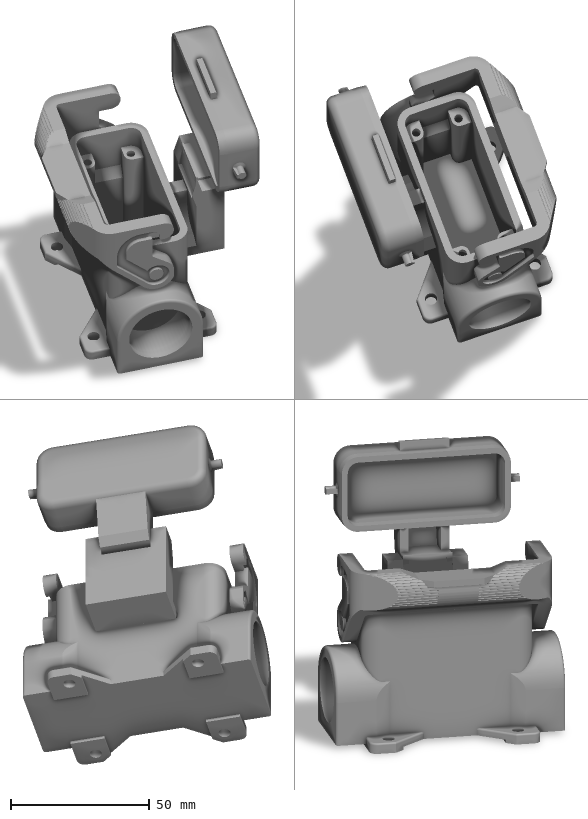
import cadquery as cq
import math


cos_45 = math.sqrt(0.5)

body_length = 63.3
body_width = 29.6
body_bottom = 1.2
body_top = 51.9
body_corner = 6.5
wall = 2.7
floor_top = 4
overlap = wall / 2

entry_span = 85.0
entry_radius = 16.2
entry_axis_z = 17.5
entry_edge = 1
entry_bore = 23.8
entry_depth = 14.6
blend_outer_x = 27.6
blend_inner_x = 22.3

boss_top = 42.9
boss_x = 21.8
boss_y = 5.5
boss_corner = 2.8
boss_hole_x = 24.8
boss_hole_y = 8.1
boss_hole = 3.1
boss_hole_depth = 9
ledge_x = 26.3
ledge_top = 34.1
ledge_slope = 4

foot_y = 24.9
foot_top = 3.9
foot_corner = 2.8
foot_edge = 0.7
foot_tip_x = 22.3
foot_root_x = 9.8
pad_x = 19.0
pad_y = 12.4
foot_hole = 4.4
foot_hole_x = 24.0
foot_hole_y = 20.0

cover_bottom = 68.2
cover_top = 97.2
cover_front = 25.4
cover_back = 41.1
cover_corner = 6.4
cover_back_edge = 2.7
cover_floor = 2.5
rim_depth = 3
rim_draft = 5
rim_back = cover_front + rim_depth
cover_mid_z = (cover_bottom + cover_top) / 2
tab_top = 100.4
tab_width = 18.4
tab_thickness = 2.1
tab_root_thickness = 2.7
stud_span = 71.9
stud_diameter = 3
stud_collar = 5.2
stud_collar_height = 0.5
stud_y = 32.6
stud_rib_width = 1.8
stud_rib_root_y = 30.2
stud_rib_tip_y = 30.7

bracket_width = 29.9
bracket_back = 32.0
bracket_front = 21.4
bracket_bottom = 25.9
bracket_top = 57.3
bracket_slope_y = 23.5
bracket_slope_z = 50.2
bracket_foot_y = 16.8
bracket_foot_z = 27.9
slot_ledge_z = 48.6
arm_width = tab_width
arm_step_z = 58.4
arm_nose_y = 23.3
arm_bottom = 50.4
arm_top_y = 40.1
arm_back_y = 36.2
arm_knee_z = 53.7
arm_foot_y = 33.9
arm_web = 2.5
arm_gap = 12
arm_foot_front = 22.3
lip_bottom = 57.4
lip_height = 0.5
lip_depth = 0.3
tooth_x = 7
tooth_bottom = 55.7
lip_overhang = 0.4

neck_top = 47.0
neck_half = 2.8
neck_fillet = 8.1
neck_fillet_z = 32.5
neck_side_z = 30.2

lever_span = 74.7
lever_inside = 64.7
lever_top = 67.9
bar_back = -18.2
bar_bottom = 54.1
lever_corner = 7.4
lever_inner_corner = 1.5
pivot_z = 42.4
pivot_radius = 6.8
pin_diameter = 5.2
pin_recess = 0.3
hook_y = 6.4
hook_bottom = 60.0
hook_corner = 3.7
throat_y = -1.7
throat_z = 52.3
grip_radius = (lever_top - bar_bottom) / 2
grip_y = -22.1
grip_z = bar_bottom + grip_radius
bevel_x = 22.3
bevel_y = -20.0
plate_front = -29.9
plate_top = 65.9
plate_bottom = 63.5
plate_tip = 9.3
plate_side_y = -26.7
plate_half = 14.1
dip_half = 19.6
rib_count = 14
rib_step = 9.5
rib_first = -40
rib_groove = 0.2
rib_start_x = 7.5

recess_depth = 1.5
recess_y = -5.9
recess_z = 55.7
recess_outer = 9
recess_inner = 5.5
recess_ring = 4.8
recess_inner_offset = 0.3
recess_hook_y = 1.2


def box(x0, x1, y0, y1, z0, z1):
    return cq.Workplane("XY").box(x1 - x0, y1 - y0, z1 - z0, centered=False).translate((x0, y0, z0))


def side_extrusion(points, width):
    """Prism along X, centred on the YZ plane, from (y, z) points."""
    return cq.Workplane("YZ").polyline(points).close().extrude(width / 2, both=True)


def both_ends(shape):
    return shape.union(shape.mirror("YZ"))


def four_corners(shape):
    half = shape.union(shape.mirror("XZ"))
    return both_ends(half)


def x_cylinder(diameter, x0, x1, y, z):
    return cq.Workplane("YZ", origin=(x0, y, z)).circle(diameter / 2).extrude(x1 - x0)


def make_housing():
    block = cq.Workplane("XY", origin=(0, 0, body_bottom)).rect(body_length, body_width)
    block = block.extrude(body_top - body_bottom).edges("|Z").fillet(body_corner)
    return block.union(both_ends(make_entry()))


def make_entry():
    """Round-topped cable entry whose flanks taper into the housing."""
    outer_x = entry_span / 2
    profile = (
        cq.Workplane("YZ", origin=(-outer_x, 0, 0))
        .moveTo(-entry_radius, body_bottom)
        .lineTo(entry_radius, body_bottom)
        .lineTo(entry_radius, entry_axis_z)
        .threePointArc((0, entry_axis_z + entry_radius), (-entry_radius, entry_axis_z))
        .close()
    )
    entry = profile.extrude(outer_x - blend_inner_x)
    end_face = entry.faces("<X").edges().vals()
    rounded = [edge for edge in end_face if edge.Center().z > body_bottom + entry_edge]
    entry = entry.newObject(rounded).fillet(entry_edge)
    plan = (
        cq.Workplane("XY")
        .polyline([
            (-outer_x, -entry_radius),
            (-blend_outer_x, -entry_radius),
            (-blend_inner_x, -body_width / 2),
            (-blend_inner_x, body_width / 2),
            (-blend_outer_x, entry_radius),
            (-outer_x, entry_radius),
        ])
        .close()
        .extrude(body_top)
    )
    return entry.intersect(plan)


def make_cavity():
    """Inside of the housing, leaving four screw bosses and an inner ledge at each end."""
    half_x = body_length / 2 - wall
    half_y = body_width / 2 - wall
    cavity = cq.Workplane("XY", origin=(0, 0, floor_top)).rect(2 * half_x, 2 * half_y)
    cavity = cavity.extrude(body_top - floor_top).edges("|Z").fillet(body_corner - wall)
    boss = box(boss_x, half_x, boss_y, half_y, floor_top, boss_top)
    boss = boss.edges("|Z and <X and <Y").fillet(boss_corner)
    hole = cq.Workplane("XY", origin=(boss_hole_x, boss_hole_y, boss_top))
    hole = hole.circle(boss_hole / 2).extrude(-boss_hole_depth)
    ledge = (
        cq.Workplane("XZ")
        .polyline([
            (half_x, floor_top),
            (ledge_x, floor_top),
            (ledge_x, ledge_top - ledge_slope),
            (half_x, ledge_top),
        ])
        .close()
        .extrude(half_y, both=True)
    )
    return cavity.cut(both_ends(ledge)).cut(four_corners(boss.cut(hole)))


def make_bores():
    outer_x = entry_span / 2
    return both_ends(x_cylinder(entry_bore, outer_x - entry_depth, outer_x, 0, entry_axis_z))


def make_feet():
    outer_x = body_length / 2
    foot = (
        cq.Workplane("XY")
        .polyline([
            (outer_x, pad_y),
            (outer_x, foot_y),
            (foot_tip_x, foot_y),
            (foot_root_x, body_width / 2),
            (foot_root_x, pad_y),
        ])
        .close()
        .extrude(foot_top)
    )
    foot = foot.edges("|Z and >X and >Y").fillet(foot_corner)
    foot = foot.faces(">Z").edges("not(<X or <Y)").fillet(foot_edge)
    foot = foot.cut(box(0, pad_x, pad_y, foot_y, 0, body_bottom))
    hole = cq.Workplane("XY").center(foot_hole_x, foot_hole_y).circle(foot_hole / 2).extrude(foot_top)
    return four_corners(foot.cut(hole))


def make_neck():
    """Ridge between housing and bracket, with hollow flanks."""
    arc_x = neck_half + neck_fillet
    arc_z = neck_fillet_z + neck_fillet
    diagonal = neck_fillet * cos_45
    middle = (arc_x - diagonal, arc_z - diagonal)
    half = (
        cq.Workplane("XZ", origin=(0, bracket_front, 0))
        .moveTo(0, bracket_foot_z)
        .lineTo(bracket_width / 2, bracket_foot_z)
        .lineTo(bracket_width / 2, neck_side_z)
        .lineTo(arc_x, neck_fillet_z)
        .threePointArc(middle, (neck_half, arc_z))
        .lineTo(neck_half, neck_top)
        .lineTo(0, neck_top)
        .close()
        .extrude(bracket_front - body_width / 2 + overlap)
    )
    return both_ends(half)


def make_bracket():
    bracket = side_extrusion([
        (bracket_back, bracket_bottom),
        (bracket_back, bracket_top),
        (bracket_slope_y, bracket_top),
        (bracket_front, bracket_slope_z),
        (bracket_front, bracket_foot_z),
        (bracket_foot_y, bracket_foot_z),
        (bracket_foot_y, bracket_bottom),
    ], bracket_width)
    half = arm_width / 2
    slot = box(-half, half, bracket_front, bracket_back, slot_ledge_z, bracket_top)
    return bracket.cut(slot)


def make_hinge_arm():
    """Arm under the cover: two cheeks, a sloped web and a foot seated in the bracket."""
    arm_top = cover_bottom + overlap
    side = [
        (rim_back, arm_top),
        (arm_top_y, arm_top),
        (arm_back_y, arm_knee_z),
        (arm_foot_y, arm_bottom),
        (arm_foot_front, arm_bottom),
        (arm_nose_y, arm_step_z),
        (rim_back, arm_step_z),
    ]
    arm = side_extrusion(side, arm_width)
    run = (arm_top_y - arm_back_y) / (arm_top - arm_knee_z)
    web_y = arm_back_y - arm_web
    gap = side_extrusion([
        (rim_back, arm_step_z),
        (web_y + run * (arm_step_z - arm_knee_z), arm_step_z),
        (web_y + run * (cover_bottom - arm_knee_z), cover_bottom),
        (rim_back, cover_bottom),
    ], arm_gap)
    half = arm_width / 2
    lip_front = arm_nose_y - lip_overhang
    lip_back = arm_nose_y + lip_depth
    lip = box(-half, half, lip_front, lip_back, lip_bottom, arm_step_z + lip_height)
    tooth = box(tooth_x, half, lip_front, lip_back, tooth_bottom, lip_bottom)
    return arm.cut(gap).union(lip).union(both_ends(tooth))


def cover_block(width, height, back, depth, corner, draft=0):
    """Round-cornered block around the middle of the cover, running from back towards -Y."""
    sketch = cq.Sketch().rect(width, height).vertices().fillet(corner)
    return cq.Workplane("XZ", origin=(0, back, cover_mid_z)).placeSketch(sketch).extrude(depth, taper=draft)


def make_cover():
    width = body_length
    height = cover_top - cover_bottom
    depth = cover_back - cover_front
    shell = cover_block(width, height, cover_back, depth - rim_depth, cover_corner)
    shell = shell.faces(">Y").edges().fillet(cover_back_edge)
    rim = cover_block(width, height, rim_back, rim_depth, cover_corner, rim_draft)
    opening = cover_block(
        width - 2 * wall, height - 2 * wall, cover_back - cover_floor, depth, cover_corner - wall
    )
    mouth = cover_block(
        width - 2 * wall, height - 2 * wall, rim_back, rim_depth, cover_corner - wall, -rim_draft
    )
    tab = side_extrusion([
        (rim_back, cover_top - overlap),
        (rim_back, tab_top),
        (rim_back + tab_thickness, tab_top),
        (rim_back + tab_root_thickness, cover_top - overlap),
    ], tab_width)
    stud = x_cylinder(stud_diameter, width / 2 - overlap, stud_span / 2, stud_y, cover_mid_z)
    collar = (
        cq.Workplane("YZ", origin=(width / 2, stud_y, cover_mid_z))
        .circle(stud_collar / 2)
        .workplane(offset=stud_collar_height)
        .circle(stud_diameter / 2)
        .loft()
    )
    rib = (
        cq.Workplane("XY", origin=(0, 0, cover_mid_z))
        .polyline([
            (width / 2 - overlap, stud_y),
            (width / 2 - overlap, stud_rib_root_y),
            (width / 2, stud_rib_root_y),
            (stud_span / 2, stud_rib_tip_y),
            (stud_span / 2, stud_y),
        ])
        .close()
        .extrude(stud_rib_width / 2, both=True)
    )
    studs = both_ends(stud.union(collar).union(rib))
    return shell.union(rim).cut(opening).cut(mouth).union(tab).union(studs)


def lever_side():
    """Side outline of the lever: hook, pivot eye and round grip."""
    reach = math.hypot(throat_y, throat_z - pivot_z)
    angle = math.atan2(throat_z - pivot_z, throat_y) - math.acos(pivot_radius / reach)
    tangent = (pivot_radius * math.cos(angle), pivot_z + pivot_radius * math.sin(angle))
    diagonal = pivot_radius * cos_45
    grip_end_y = -(2 * diagonal + bar_bottom - pivot_z)
    outline = (
        cq.Workplane("YZ")
        .moveTo(hook_y, lever_top)
        .lineTo(hook_y, hook_bottom)
        .lineTo(throat_y, hook_bottom)
        .lineTo(throat_y, throat_z)
        .lineTo(*tangent)
        .threePointArc((diagonal, pivot_z - diagonal), (-diagonal, pivot_z - diagonal))
        .lineTo(grip_end_y, bar_bottom)
        .lineTo(grip_y, bar_bottom)
        .threePointArc((grip_y - grip_radius, grip_z), (grip_y, lever_top))
        .close()
        .extrude(lever_span / 2, both=True)
    )
    return outline.edges("|X and >Y").fillet(hook_corner)


def lever_plan():
    """U-shaped plan of the lever with bevelled front corners."""
    half = lever_span / 2
    nose_y = grip_y - grip_radius
    outer = (
        cq.Workplane("XY")
        .polyline([
            (-half, hook_y),
            (-half, bevel_y),
            (-bevel_x, nose_y),
            (bevel_x, nose_y),
            (half, bevel_y),
            (half, hook_y),
        ])
        .close()
        .extrude(lever_top)
    )
    outer = outer.edges("|Z and (<X or >X) and (not >Y)").fillet(lever_corner)
    inside = box(-lever_inside / 2, lever_inside / 2, bar_back, hook_y, 0, lever_top)
    return outer.cut(inside.edges("|Z and <Y").fillet(lever_inner_corner))


def make_grip_dip():
    """Shallow trapezoidal dip in the top of the bar."""
    return (
        cq.Workplane("XZ")
        .polyline([
            (-dip_half, lever_top),
            (-plate_half, plate_top),
            (plate_half, plate_top),
            (dip_half, lever_top),
        ])
        .close()
        .extrude(-plate_front)
    )


def make_thumb_plate():
    """Flat thumb plate standing out of the front of the bar."""
    return (
        cq.Workplane("XY", origin=(0, 0, plate_bottom))
        .polyline([
            (-plate_half, bar_back),
            (-plate_half, plate_side_y),
            (-plate_tip, plate_front),
            (plate_tip, plate_front),
            (plate_half, plate_side_y),
            (plate_half, bar_back),
        ])
        .close()
        .extrude(plate_top - plate_bottom)
    )


def make_rib_grooves():
    """Fine grooves along the round front of the bar, on both sides of a smooth middle."""
    grooves = cq.Workplane("XY")
    for index in range(rib_count):
        angle = math.radians(rib_first + index * rib_step)
        y = grip_y - grip_radius * math.cos(angle)
        z = grip_z + grip_radius * math.sin(angle)
        grooves = grooves.union(x_cylinder(2 * rib_groove, rib_start_x, lever_span / 2, y, z))
    return both_ends(grooves)


def make_arm_recess():
    """Hook-shaped recess in the outer face of one lever arm, running round the pivot."""
    ring_tangent = recess_ring * cos_45
    front_y = recess_y - recess_outer
    inner_y = recess_y - recess_inner
    outer_knee_z = pivot_z - front_y - recess_ring * math.sqrt(2)
    inner_knee_z = pivot_z - inner_y - recess_inner_offset * math.sqrt(2)
    ring_entry = math.sqrt(recess_ring**2 - recess_inner_offset**2)
    entry_y = (-ring_entry - recess_inner_offset) * cos_45
    entry_z = pivot_z + (ring_entry - recess_inner_offset) * cos_45
    outer_mid = (recess_y - recess_outer * cos_45, recess_z + recess_outer * cos_45)
    inner_mid = (recess_y - recess_inner * cos_45, recess_z + recess_inner * cos_45)
    inner_top = recess_z + recess_inner
    outer_top = recess_z + recess_outer
    return (
        cq.Workplane("YZ", origin=(lever_span / 2, 0, 0))
        .moveTo(recess_hook_y, hook_bottom)
        .lineTo(recess_hook_y, outer_top - (recess_hook_y - throat_y))
        .tangentArcPoint((throat_y, outer_top), relative=False)
        .lineTo(recess_y, outer_top)
        .threePointArc(outer_mid, (front_y, recess_z))
        .lineTo(front_y, outer_knee_z)
        .lineTo(-ring_tangent, pivot_z - ring_tangent)
        .threePointArc((ring_tangent, pivot_z + ring_tangent), (entry_y, entry_z))
        .lineTo(inner_y, inner_knee_z)
        .lineTo(inner_y, recess_z)
        .threePointArc(inner_mid, (recess_y, inner_top))
        .lineTo(throat_y, inner_top)
        .lineTo(throat_y, hook_bottom)
        .close()
        .extrude(-recess_depth)
    )


def make_lever():
    lever = lever_side().intersect(lever_plan())
    lever = lever.cut(make_rib_grooves()).cut(make_grip_dip())
    plate = make_thumb_plate()
    lever = lever.union(plate).cut(both_ends(make_arm_recess()))
    pin_start = body_length / 2 - overlap
    pin = x_cylinder(pin_diameter, pin_start, lever_span / 2 - pin_recess, 0, pivot_z)
    return lever.union(both_ends(pin))


housing = make_housing().union(make_neck()).union(make_bracket()).union(make_feet())
housing = housing.cut(make_cavity()).cut(make_bores())
cover = make_cover().union(make_hinge_arm())
result = housing.union(cover).union(make_lever())